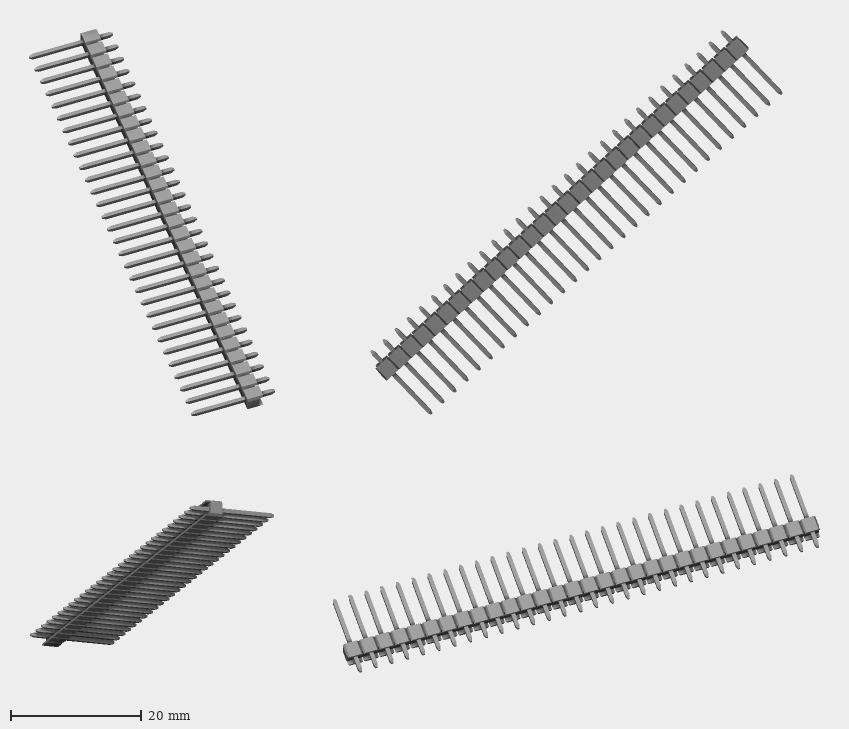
import cadquery as cq

PITCH = 2.54
PIN_COUNT = 30
ROW_LENGTH = PIN_COUNT * PITCH

BODY_DEPTH = PITCH
BODY_HEIGHT = 2.5
CHAMFER_X = 0.3
CHAMFER_Z = 0.4
CHANNEL_DEPTH = 0.7
LIP_THICKNESS = 0.3

PIN_WIDTH = 0.64
PIN_LENGTH = 13.6
PIN_FRONT_LENGTH = 8.75
PIN_OFFSET_X = -0.1
TIP_LENGTH = 0.55
TIP_WIDTH = PIN_WIDTH / 2

CELL_CENTRES = [(i - (PIN_COUNT - 1) / 2) * PITCH for i in range(PIN_COUNT)]


def square_bar(start_y, length, start_width, end_width):
    """Straight or tapered bar of square section, running along +Y from start_y."""
    start_plane = cq.Plane(origin=(0, start_y, 0), xDir=(1, 0, 0), normal=(0, 1, 0))
    return (
        cq.Workplane(start_plane)
        .rect(start_width, start_width)
        .workplane(offset=length)
        .rect(end_width, end_width)
        .loft(ruled=True)
    )


def make_body():
    """Row of cells with chamfered corners and a full-length channel in the back face."""
    half_height = BODY_HEIGHT / 2
    side_half_height = half_height - CHAMFER_Z
    half_pitch = PITCH / 2
    flat_half_width = half_pitch - CHAMFER_X

    top_edge = []
    for x in CELL_CENTRES:
        top_edge.append((x - half_pitch, side_half_height))
        top_edge.append((x - flat_half_width, half_height))
        top_edge.append((x + flat_half_width, half_height))
    top_edge.append((ROW_LENGTH / 2, side_half_height))
    bottom_edge = [(x, -z) for x, z in reversed(top_edge)]

    body = cq.Workplane("XZ").polyline(top_edge + bottom_edge).close().extrude(-BODY_DEPTH)

    channel_height = BODY_HEIGHT - 2 * LIP_THICKNESS
    channel = cq.Workplane("XY").box(ROW_LENGTH, CHANNEL_DEPTH, channel_height)
    channel = channel.translate((0, BODY_DEPTH - CHANNEL_DEPTH / 2, 0))
    return body.cut(channel)


def make_pin():
    """Square pin on X = 0 with a tapered tip at each end."""
    front_y = -PIN_FRONT_LENGTH
    shank_length = PIN_LENGTH - 2 * TIP_LENGTH
    shank_front_y = front_y + TIP_LENGTH
    shank_back_y = shank_front_y + shank_length

    front_tip = square_bar(front_y, TIP_LENGTH, TIP_WIDTH, PIN_WIDTH)
    shank = square_bar(shank_front_y, shank_length, PIN_WIDTH, PIN_WIDTH)
    back_tip = square_bar(shank_back_y, TIP_LENGTH, PIN_WIDTH, TIP_WIDTH)
    return shank.union(front_tip).union(back_tip)


pin = make_pin().val()
pins = [pin.translate(cq.Vector(x + PIN_OFFSET_X, 0, 0)) for x in CELL_CENTRES]

result = cq.Workplane(make_body().val().fuse(*pins))